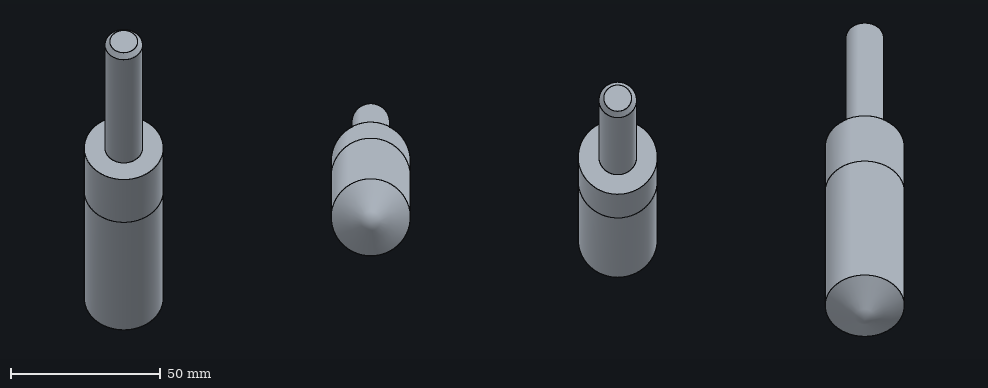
import cadquery as cq
import math

total_length = 152.4
body_diameter = 26.5
rod_diameter = 12.6
point_angle = 118.0
joint_height = 68.6
shoulder_height = 92.7
rod_chamfer = 1.7

body_radius = body_diameter / 2
rod_radius = rod_diameter / 2
point_height = body_radius / math.tan(math.radians(point_angle / 2))


def make_pointed_body():
    """Cylinder with a conical point at its lower end."""
    return (
        cq.Workplane("XZ")
        .moveTo(0, 0)
        .lineTo(body_radius, point_height)
        .lineTo(body_radius, joint_height)
        .lineTo(0, joint_height)
        .close()
        .revolve(360, (0, 0, 0), (0, 1, 0))
    )


def make_shank():
    """Collar carrying a slender rod with a chamfered upper end."""
    collar = (
        cq.Workplane("XY")
        .workplane(offset=joint_height)
        .circle(body_radius)
        .extrude(shoulder_height - joint_height)
    )
    rod = (
        cq.Workplane("XY")
        .workplane(offset=shoulder_height)
        .circle(rod_radius)
        .extrude(total_length - shoulder_height)
        .faces(">Z")
        .chamfer(rod_chamfer)
    )
    return collar.union(rod)


pointed_body = make_pointed_body()
shank = make_shank()

result = cq.Compound.makeCompound([pointed_body.val(), shank.solids().val()])